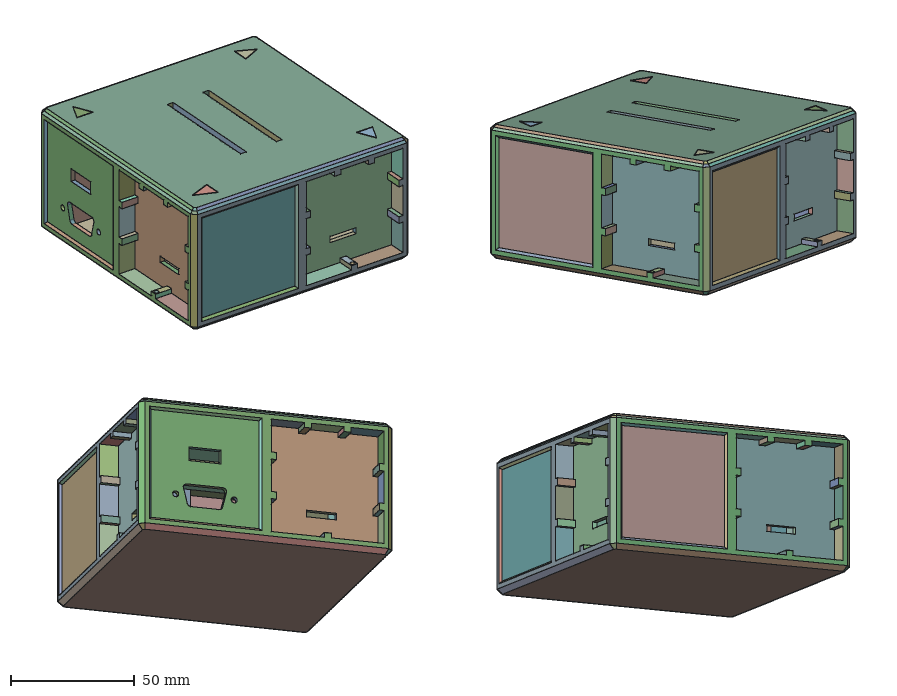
import cadquery as cq
import math

side = 108.0
half = side / 2
margin = 4.0
bay = (side - 3 * margin) / 2
height = bay + 2 * margin
bay_offset = (bay + margin) / 2
bay_z = margin + bay / 2
edge_chamfer = 2.0

wall = 3.0
floor_thickness = 3.0
lid_rim = 1.0
lid_thickness = 3.0
seam_z = height - lid_rim
plug_bottom = height - lid_thickness

panel_depth = 1.0

pocket_depth = 8.0
pocket_wall = 2.0
pocket_back = pocket_depth + pocket_wall
rib_width = 3.0
rib_height = 2.0
rib_offset = 8.4
dimple_radius = 1.0
dimple_setback = 1.5

slot_width = 2.8
cable_slot_length = 12.9
port_drop = 11.9
lid_slot_length = 51.0
lid_slot_offset = 8.9
window_width = 13.5
window_height = 5.8
window_rise = 5.8
connector_top_width = 19.2
connector_height = 9.5
connector_slant = 14.0
connector_radius = 1.6
screw_diameter = 2.5
screw_spacing = 25.0

arrow_base = 7.9
arrow_length = 8.4
front_arrow_length = 9.9
arrow_edge_gap = 7.7
arrow_depth = 0.2


def box(x_range, y_range, z_range):
    """Box that spans the three given (low, high) ranges."""
    size = [high - low for low, high in (x_range, y_range, z_range)]
    corner = (x_range[0], y_range[0], z_range[0])
    return cq.Workplane("XY").box(*size, centered=False).translate(corner)


def front_box(x, z, width, tall, depth_range):
    """Box centred on (x, z) that runs inward from the front wall over depth_range."""
    near, far = depth_range
    return box(
        (x - width / 2, x + width / 2),
        (-half + near, -half + far),
        (z - tall / 2, z + tall / 2),
    )


def on_each_wall(front_shape):
    """The front-wall shape followed by its copies on the other three walls."""
    return [front_shape.rotate((0, 0, 0), (0, 0, 1), 90 * turn) for turn in range(4)]


def outer_block():
    block = box((-half, half), (-half, half), (0, height))
    return block.edges("|Z").chamfer(edge_chamfer).faces("<Z or >Z").chamfer(edge_chamfer)


def above(z):
    return box((-half, half), (-half, half), (z, height))


def lid_plug():
    """Square plug that fills the opening between the four pocket backs."""
    reach = half - pocket_back
    return box((-reach, reach), (-reach, reach), (plug_bottom, seam_z))


def cavity():
    """Inside of the housing, less the walls that enclose the four pockets."""
    reach = half - wall
    space = box((-reach, reach), (-reach, reach), (floor_thickness, plug_bottom))
    pocket_left = bay_offset - bay / 2 - pocket_wall
    enclosure = box((pocket_left, half), (-half, -half + pocket_back), (0, height))
    for shape in on_each_wall(enclosure):
        space = space.cut(shape)
    return space


def panel_recess():
    """Shallow square recess with 45-degree sides."""
    return (
        cq.Workplane("XZ", origin=(-bay_offset, -half, bay_z))
        .rect(bay, bay)
        .extrude(-panel_depth, taper=45)
    )


def pocket():
    """Square pocket that leaves locating ribs on its sides, top and bottom."""
    hollow = front_box(bay_offset, bay_z, bay, bay, (0, pocket_depth))
    edge = (bay - rib_height) / 2
    for offset in (-rib_offset, rib_offset):
        top_rib = (bay_offset + offset, bay_z + edge, rib_width, rib_height)
        left_rib = (bay_offset - edge, bay_z + offset, rib_height, rib_width)
        right_rib = (bay_offset + edge, bay_z + offset, rib_height, rib_width)
        for rib in (top_rib, left_rib, right_rib):
            hollow = hollow.cut(front_box(*rib, (0, pocket_depth)))
    bottom_rib = (bay_offset, bay_z - edge, rib_width, rib_height)
    return hollow.cut(front_box(*bottom_rib, (0, pocket_depth)))


def rib_dimple():
    """45-degree conical dimple in the top of the bottom rib, close to its front end."""
    centre = cq.Vector(bay_offset, -half + dimple_setback, margin + rib_height)
    cone = cq.Solid.makeCone(dimple_radius, 0, dimple_radius, pnt=centre, dir=cq.Vector(0, 0, -1))
    return cq.Workplane(cone)


def cable_slot():
    """Slot from the pocket through to the cavity."""
    back_wall = (pocket_depth, pocket_back)
    return front_box(bay_offset, bay_z - port_drop, cable_slot_length, slot_width, back_wall)


def connector_opening():
    """D-shaped connector hole: a rounded trapezoid, wider at the top."""
    top = connector_top_width / 2
    bottom = top - connector_height * math.tan(math.radians(connector_slant))
    z = connector_height / 2
    return (
        cq.Workplane("XZ", origin=(-bay_offset, -half, bay_z - port_drop))
        .polyline([(-top, z), (top, z), (bottom, -z), (-bottom, -z)])
        .close()
        .extrude(-wall)
        .edges("|Y")
        .fillet(connector_radius)
    )


def screw_holes():
    return (
        cq.Workplane("XZ", origin=(-bay_offset, -half, bay_z - port_drop))
        .pushPoints([(-screw_spacing / 2, 0), (screw_spacing / 2, 0)])
        .circle(screw_diameter / 2)
        .extrude(-wall)
    )


def make_housing():
    body = outer_block().cut(above(seam_z)).cut(lid_plug()).cut(cavity())
    for feature in (panel_recess(), pocket(), rib_dimple(), cable_slot()):
        for shape in on_each_wall(feature):
            body = body.cut(shape)
    window = front_box(-bay_offset, bay_z + window_rise, window_width, window_height, (0, wall))
    return body.cut(window).cut(connector_opening()).cut(screw_holes())


def arrow(length):
    """Triangle at the right end of the front edge, pointing at the front wall."""
    right = half - arrow_edge_gap
    left = right - arrow_base
    tip_y = -half + arrow_edge_gap
    base_y = tip_y + length
    return (
        cq.Workplane("XY", origin=(0, 0, height))
        .polyline([(left, base_y), (right, base_y), ((left + right) / 2, tip_y)])
        .close()
        .extrude(-arrow_depth)
    )


def make_lid():
    body = outer_block().intersect(above(seam_z)).union(lid_plug())
    for y in (-lid_slot_offset, lid_slot_offset):
        slot = box(
            (-lid_slot_length / 2, lid_slot_length / 2),
            (y - slot_width / 2, y + slot_width / 2),
            (plug_bottom, height),
        )
        body = body.cut(slot)
    arrows = [arrow(front_arrow_length)] + on_each_wall(arrow(arrow_length))[1:]
    for shape in arrows:
        body = body.cut(shape)
    return body


housing = make_housing()
lid = make_lid()
result = cq.Compound.makeCompound([housing.solids().val(), lid.solids().val()])